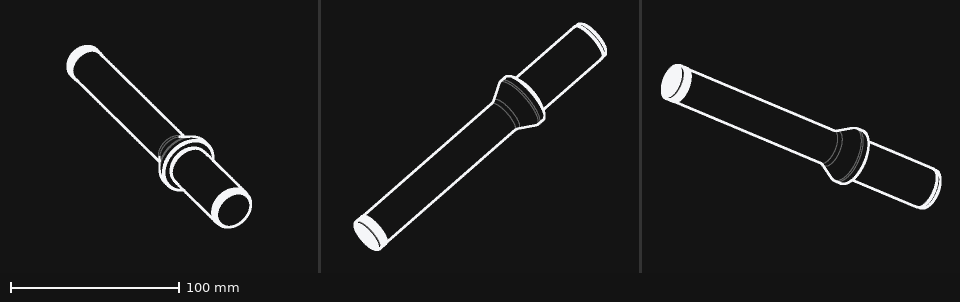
import cadquery as cq
import math

tip_length = 6.4
tip_diameter = 21.6
tip_front_fillet = 1.3

rim_groove_depth = 0.28
rim_groove_width = 1.1
rim_groove_starts = (2.5, 4.7)

face_groove_depth = 0.2
face_groove_width = 1.1
face_groove_pitch = 1.9
first_face_groove_radius = 1.3
face_groove_count = 5

shaft_diameter = 21.0
flare_start = 113.5
flare_arc_length = 2.8
cone_angle = math.radians(27.8)
flange_diameter = 34.0
flange_front = 127.5
crown_arc_length = 1.1
flange_back = 132.0
flange_chamfer = 0.5

total_length = 188.0
grip_diameter = 25.0
rear_diameter = 24.5
grip_start = 133.9
grip_end = 184.2
grip_chamfer_length = 0.8
rear_chamfer = 1.0


def cylinder(start, end, diameter):
    """Solid cylinder on the X axis."""
    return cq.Workplane("YZ").workplane(offset=start).circle(diameter / 2).extrude(end - start)


def rim_groove(start):
    """Square-section ring that cuts one groove around the tip."""
    end = start + rim_groove_width
    floor_diameter = tip_diameter - 2 * rim_groove_depth
    return cylinder(start, end, 2 * tip_diameter).cut(cylinder(start, end, floor_diameter))


def face_groove(inner_radius):
    """Triangular-section ring that cuts one V groove in the tip face."""
    return (
        cq.Workplane("XY")
        .moveTo(0, inner_radius)
        .lineTo(face_groove_depth, inner_radius + face_groove_width / 2)
        .lineTo(0, inner_radius + face_groove_width)
        .close()
        .revolve(360, (0, 0, 0), (1, 0, 0))
    )


def make_tip():
    """Rounded disc with grooves in its rim and its front face."""
    tip = cylinder(0, tip_length, tip_diameter).faces("<X").edges().fillet(tip_front_fillet)
    for start in rim_groove_starts:
        tip = tip.cut(rim_groove(start))
    for index in range(face_groove_count):
        tip = tip.cut(face_groove(first_face_groove_radius + index * face_groove_pitch))
    return tip


def make_body():
    """Shaft, flare, flange and rear grip turned as one profile."""
    shaft_radius = shaft_diameter / 2
    flange_radius = flange_diameter / 2
    grip_radius = grip_diameter / 2
    rear_radius = rear_diameter / 2

    arc_rise = math.tan(cone_angle / 2)
    cone_start = (flare_start + flare_arc_length, shaft_radius + flare_arc_length * arc_rise)
    cone_end = (flange_front - crown_arc_length, flange_radius - crown_arc_length * arc_rise)

    profile = (
        cq.Workplane("XY")
        .moveTo(tip_length, 0)
        .lineTo(tip_length, shaft_radius)
        .lineTo(flare_start, shaft_radius)
        .tangentArcPoint(cone_start, relative=False)
        .lineTo(*cone_end)
        .tangentArcPoint((flange_front, flange_radius), relative=False)
        .lineTo(flange_back - flange_chamfer, flange_radius)
        .lineTo(flange_back, flange_radius - flange_chamfer)
        .lineTo(flange_back, rear_radius)
        .lineTo(grip_start - grip_chamfer_length, rear_radius)
        .lineTo(grip_start, grip_radius)
        .lineTo(grip_end, grip_radius)
        .lineTo(grip_end + grip_chamfer_length, rear_radius)
        .lineTo(total_length - rear_chamfer, rear_radius)
        .lineTo(total_length, rear_radius - rear_chamfer)
        .lineTo(total_length, 0)
        .close()
    )
    return profile.revolve(360, (0, 0, 0), (1, 0, 0))


tip = make_tip()
body = make_body()
result = cq.Compound.makeCompound([tip.val(), body.val()])